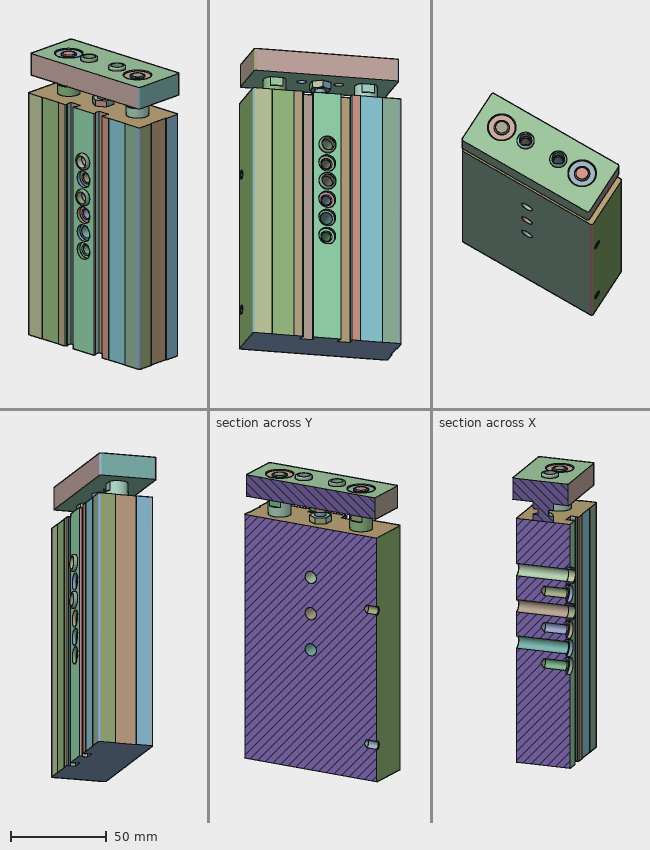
import cadquery as cq
import math


housing_width = 80.0
housing_depth = 30.0
housing_height = 134.1
housing_corner_radius = 1.1
housing_front = -housing_depth / 2

relief_depth = 0.2
relief_inner = 18.0
relief_outer = 29.7

slot_inner = 7.4
slot_outer = 12.8
slot_depth = 4.7
slot_undercut = 0.6
slot_lip = 1.4
slot_chamfer = 0.6

channel_width = 11.4
channel_depth = 0.5

yoke_width = 78.0
yoke_depth = 31.1
yoke_height = 12.0
yoke_corner_radius = 1.1
yoke_gap = 10.0
yoke_front_inset = 1.0
yoke_bottom = housing_height + yoke_gap
yoke_top = yoke_bottom + yoke_height

rod_diameter = 12.0
rod_offset = 24.6
rod_engagement = 63.1
rod_flat_width = 10.0
rod_flat_height = 4.7
stud_diameter = 8.0
stud_tip_diameter = 6.5
stud_chamfer = (stud_diameter - stud_tip_diameter) / 2
stud_recess_diameter = 15.0
stud_recess_floor_diameter = 14.0
stud_recess_depth = (stud_recess_diameter - stud_recess_floor_diameter) / 2

hex_width = 10.0
hex_half_angle = 30.0
lock_nut_height = 3.8
lock_nut_chamfer = 0.6
stop_head_height = 3.3
stop_shank_diameter = 6.0

sleeve_diameter = 9.0
sleeve_bore = 6.5
sleeve_protrusion = 1.7
seat_depth = 2.0
sleeve_length = sleeve_protrusion + seat_depth
sleeve_rounding = 1.0
yoke_sleeve_spacing = 20.0
yoke_sleeve_offset = yoke_sleeve_spacing / 2

mounting_hole_pitch = 10.0
mounting_hole_count = 6
top_mounting_hole_drop = 28.2
clearance_diameter = 6.5
thread_diameter = 6.0
thread_core_diameter = 4.9
thread_depth = 12.6
thread_chamfer = (thread_diameter - thread_core_diameter) / 2
mounting_heights = [
    housing_height - top_mounting_hole_drop - i * mounting_hole_pitch for i in range(mounting_hole_count)
]
clearance_heights = mounting_heights[0::2]
threaded_heights = mounting_heights[1::2]
sleeve_heights = clearance_heights[:2]

port_heights = (20.0, 94.0)
port_y = 10.0
port_diameter = 4.9
port_core_diameter = 4.1
port_depth = 6.3

drill_point_angle = 118.0

FRONT = cq.Vector(0, -1, 0)
LEFT = cq.Vector(-1, 0, 0)
UP = cq.Vector(0, 0, 1)


def cylinder(diameter, length, start, direction):
    """Solid cylinder that runs from start along direction."""
    return cq.Workplane(cq.Solid.makeCylinder(diameter / 2, length, start, direction))


def cone(start_diameter, end_diameter, length, start, direction):
    """Solid cone that runs from start along direction."""
    return cq.Workplane(cq.Solid.makeCone(start_diameter / 2, end_diameter / 2, length, start, direction))


def tapped_hole(mouth_diameter, core_diameter, depth, mouth, outward):
    """Cutter for a blind hole with a 45 degree mouth chamfer and a drill point."""
    inward = outward * -1
    chamfer = (mouth_diameter - core_diameter) / 2
    point = core_diameter / 2 / math.tan(math.radians(drill_point_angle / 2))
    cutter = cylinder(core_diameter, depth, mouth, inward)
    cutter = cutter.union(cone(mouth_diameter, core_diameter, chamfer, mouth, inward))
    return cutter.union(cone(core_diameter, 0, point, mouth + inward * depth, inward))


def rod_axis_points():
    return [(-rod_offset, 0), (rod_offset, 0)]



def front_slot(side):
    """Cutter for one undercut slot; side is -1 for the left slot and 1 for the right one."""
    profile = [
        (slot_inner, 0),
        (slot_inner, slot_lip),
        (slot_inner - slot_undercut, slot_lip + slot_undercut),
        (slot_inner - slot_undercut, slot_depth),
        (slot_outer + slot_undercut, slot_depth),
        (slot_outer + slot_undercut, slot_lip + slot_undercut),
        (slot_outer, slot_lip),
        (slot_outer, slot_chamfer),
        (slot_outer + slot_chamfer, 0),
    ]
    points = [(side * x, housing_front + depth) for x, depth in profile]
    return cq.Workplane("XY").polyline(points).close().extrude(housing_height)


def front_relief(side):
    """Cutter for one shallow relief band; side is -1 for the left band and 1 for the right one."""
    return (
        cq.Workplane("XY")
        .center(side * (relief_inner + relief_outer) / 2, housing_front)
        .rect(relief_outer - relief_inner, 2 * relief_depth)
        .extrude(housing_height)
    )


def make_housing():
    body = (
        cq.Workplane("XY")
        .rect(housing_width, housing_depth)
        .extrude(housing_height)
        .edges("|Z")
        .fillet(housing_corner_radius)
    )
    for side in (-1, 1):
        body = body.cut(front_relief(side))
        body = body.cut(front_slot(side))

    channel = (
        cq.Workplane("XY")
        .center(housing_width / 2, 0)
        .rect(2 * channel_depth, channel_width)
        .extrude(housing_height)
    )
    body = body.cut(channel)

    rod_bores = (
        cq.Workplane("XY", origin=(0, 0, housing_height))
        .pushPoints(rod_axis_points())
        .circle(rod_diameter / 2)
        .extrude(-rod_engagement)
    )
    body = body.cut(rod_bores)

    for z in mounting_heights:
        body = body.cut(cylinder(sleeve_diameter, seat_depth, cq.Vector(0, housing_front, z), FRONT * -1))
    for z in clearance_heights:
        body = body.cut(cylinder(clearance_diameter, housing_depth, cq.Vector(0, housing_front, z), FRONT * -1))
    for z in threaded_heights:
        seat_floor = cq.Vector(0, housing_front + seat_depth, z)
        body = body.cut(tapped_hole(thread_diameter, thread_core_diameter, thread_depth, seat_floor, FRONT))
    for z in port_heights:
        mouth = cq.Vector(-housing_width / 2, port_y, z)
        body = body.cut(tapped_hole(port_diameter, port_core_diameter, port_depth, mouth, LEFT))
    return body



def make_stop_screw():
    hex_circumscribed = hex_width / math.cos(math.radians(hex_half_angle))

    def hexagon(bottom, height):
        prism = cq.Workplane("XY", origin=(0, 0, bottom)).polygon(6, hex_circumscribed).extrude(height)
        return prism.rotate((0, 0, 0), (0, 0, 1), hex_half_angle)

    nut_bottom = yoke_bottom - lock_nut_height
    chamfer_envelope = cylinder(hex_circumscribed, lock_nut_height, cq.Vector(0, 0, nut_bottom), UP)
    chamfer_envelope = chamfer_envelope.faces("<Z").chamfer(lock_nut_chamfer)
    lock_nut = hexagon(nut_bottom, lock_nut_height).intersect(chamfer_envelope)
    head = hexagon(housing_height, stop_head_height)
    shank = cylinder(stop_shank_diameter, yoke_gap, cq.Vector(0, 0, housing_height), UP)
    return shank.union(lock_nut).union(head)


def make_yoke():
    yoke_center_y = housing_front + yoke_front_inset + yoke_depth / 2
    body = (
        cq.Workplane("XY", origin=(0, yoke_center_y, yoke_bottom))
        .rect(yoke_width, yoke_depth)
        .extrude(yoke_height)
        .edges("|Z")
        .fillet(yoke_corner_radius)
    )
    for x, y in rod_axis_points():
        body = body.cut(cylinder(stud_diameter, yoke_height, cq.Vector(x, y, yoke_bottom), UP))
        recess_mouth = cq.Vector(x, y, yoke_top)
        body = body.cut(
            cone(stud_recess_diameter, stud_recess_floor_diameter, stud_recess_depth, recess_mouth, UP * -1)
        )
    for side in (-1, 1):
        mouth = cq.Vector(side * yoke_sleeve_offset, 0, yoke_top)
        body = body.cut(cylinder(sleeve_diameter, seat_depth, mouth, UP * -1))
        body = body.cut(cylinder(thread_core_diameter, yoke_height, mouth, UP * -1))
        seat_floor = mouth - UP * seat_depth
        body = body.cut(cone(thread_diameter, thread_core_diameter, thread_chamfer, seat_floor, UP * -1))
    return body.union(make_stop_screw())



def make_guide_rod(x, y):
    shaft_bottom = housing_height - rod_engagement
    shaft = cylinder(rod_diameter, rod_engagement + yoke_gap, cq.Vector(x, y, shaft_bottom), UP)
    flat_zone = cq.Workplane("XY", origin=(x, y, yoke_bottom - rod_flat_height))
    ring = flat_zone.rect(2 * rod_diameter, 2 * rod_diameter).extrude(rod_flat_height)
    kept = flat_zone.rect(2 * rod_diameter, rod_flat_width).extrude(rod_flat_height)
    shaft = shaft.cut(ring.cut(kept))
    stud = cylinder(stud_diameter, yoke_height, cq.Vector(x, y, yoke_bottom), UP)
    stud = stud.faces(">Z").chamfer(stud_chamfer)
    return shaft.union(stud)



def make_sleeve(seat_mouth, outward):
    """Ring with a rounded outer rim, seated with its inner end below seat_mouth."""
    base = seat_mouth - outward * seat_depth
    outer_end = cq.selectors.DirectionMinMaxSelector(outward)
    sleeve = cylinder(sleeve_diameter, sleeve_length, base, outward)
    sleeve = sleeve.faces(outer_end).edges().fillet(sleeve_rounding)
    return sleeve.cut(cylinder(sleeve_bore, sleeve_length, base, outward))


housing = make_housing()
yoke = make_yoke()
guide_rods = [make_guide_rod(x, y) for x, y in rod_axis_points()]
housing_sleeves = [make_sleeve(cq.Vector(0, housing_front, z), FRONT) for z in sleeve_heights]
yoke_sleeves = [make_sleeve(cq.Vector(side * yoke_sleeve_offset, 0, yoke_top), UP) for side in (-1, 1)]

bodies = [housing, yoke, *guide_rods, *housing_sleeves, *yoke_sleeves]
result = cq.Compound.makeCompound([body.solids().val() for body in bodies])